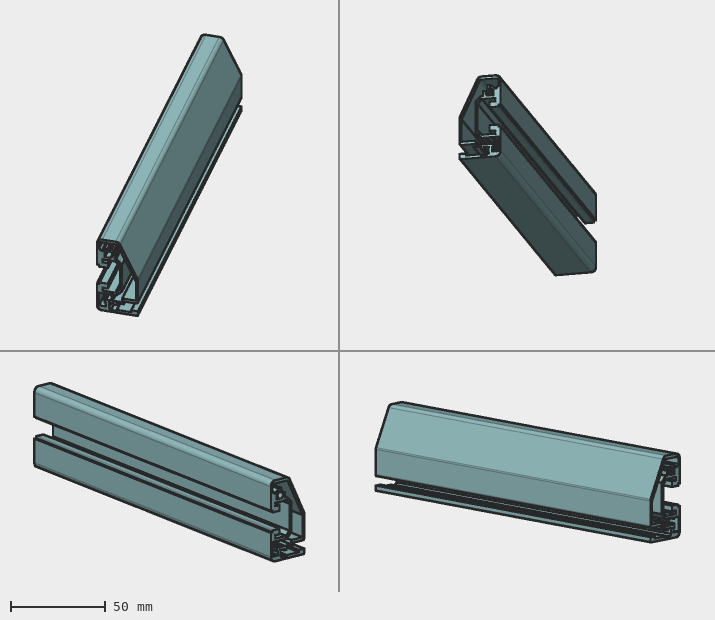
import cadquery as cq
import math


length = 200.0
width = 22.5
height = 45.0
mid_z = height / 2

left_wall = 1.2
right_wall = 1.2
top_wall = 1.8
slant_wall = 1.5
corner_radius = 3.0
slant_corner_radius = 2.7
slant_foot_radius = 2.0
inner_corner_radius = 1.0
slant_top_x = 12.0
slant_bottom_z = 22.9
slant_inner_radius = slant_corner_radius - slant_wall

slot_mouth = 10.0
slot_step = 1.1
slot_step_depth = 1.1
slot_lip_radius = 0.5
jaw_reach = 6.0
undercut_x = 3.0
undercut_height = 1.8
channel_height = 19.8
channel_right_x = 12.6
channel_chamfer = 2.4
channel_wall = 1.2
channel_corner_wall = 1.5
channel_slab = 1.75

root_width = 4.2
root_top_z = 37.7
root_slope_z = 39.2
root_slope_x = 2.7

upper_port_x = 6.4
upper_port_z = 36.1
port_radius = 2.0
hook_radius = 3.5
hook_knob_left_x = 5.9
hook_knob_top_z = 39.8
hook_tip_angle = 75.0
hook_root_angle = 160.0
nub_left_x = 8.3
nub_right_x = 9.7
nub_top_z = 36.8
port_tooth_z = 35.4
port_tooth_height = 0.8
port_tooth_reach = 0.7

lower_port_x = 6.3
ridge_offset = 1.8
ridge_width = 1.1
ridge_height = 0.7

floor_z = 2.9
stem_left_x = 4.8
stem_right_x = 6.6
stem_head_x = 4.2
stem_head_z = 5.2
shelf_low_z = 7.2
shelf_high_z = 9.6
shelf_step_low_x = 13.5
shelf_step_high_x = 13.9
shelf_underside_z = 7.8
shelf_edge_radius = 1.2

bay_right_x = 14.7
bay_low_ceiling_z = 6.0
catch_right_x = 10.7
catch_left_x = 9.0
catch_z = 4.8
stem_ceiling_z = 5.6
foot_groove_z = 1.2
foot_groove_right_x = 10.8
foot_top_z = 1.8
foot_lip_x = 18.8
foot_lip_z = 3.0
foot_edge_radius = 0.8
bay_corner_chamfer = 1.2


def extrude_outline(points):
    """Closed polygon in XZ, extruded over the full length."""
    return cq.Workplane("XZ").polyline(points).close().extrude(length / 2, both=True)


def block(x0, z0, x1, z1):
    return extrude_outline([(x0, z0), (x1, z0), (x1, z1), (x0, z1)])


def round_edge(body, x, z, radius):
    """Fillet the lengthwise edge that passes through (x, z)."""
    return body.edges(cq.selectors.NearestToPointSelector((x, 0, z))).fillet(radius)


def mirror_in_slot(body):
    """Mirror image across the middle plane of the T-slot."""
    return body.mirror("XY", (0, 0, mid_z))


def on_circle(radius, angle):
    """Point on a circle about the upper screw port."""
    a = math.radians(angle)
    return (upper_port_x + radius * math.cos(a), upper_port_z + radius * math.sin(a))


def make_envelope():
    body = extrude_outline([
        (0, 0), (width, 0), (width, slant_bottom_z), (slant_top_x, height), (0, height),
    ])
    for z in (0, height):
        body = round_edge(body, 0, z, corner_radius)
    body = round_edge(body, slant_top_x, height, slant_corner_radius)
    body = round_edge(body, width, slant_bottom_z, slant_foot_radius)
    return round_edge(body, width, 0, foot_edge_radius)


def make_interior():
    """Hollow enclosed by the skin, the floor and the stepped shelf."""
    run = (width - slant_top_x) / (height - slant_bottom_z)
    shift = slant_wall * math.hypot(1, run)
    ceiling_z = height - top_wall
    right_x = width - right_wall
    slant_inner_x = slant_top_x - shift + run * top_wall
    slant_inner_z = slant_bottom_z + (right_wall - shift) / run
    body = extrude_outline([
        (left_wall, floor_z), (stem_left_x, floor_z),
        (stem_left_x, stem_head_z), (stem_head_x, stem_head_z),
        (stem_head_x, shelf_low_z), (shelf_step_low_x, shelf_low_z),
        (shelf_step_high_x, shelf_high_z), (right_x, shelf_high_z),
        (right_x, slant_inner_z), (slant_inner_x, ceiling_z), (left_wall, ceiling_z),
    ])
    body = round_edge(body, left_wall, ceiling_z, inner_corner_radius)
    return round_edge(body, slant_inner_x, ceiling_z, slant_inner_radius)


def make_bay():
    return extrude_outline([
        (stem_right_x, foot_groove_z + bay_corner_chamfer),
        (stem_right_x + bay_corner_chamfer, foot_groove_z),
        (foot_groove_right_x, foot_groove_z), (foot_groove_right_x, foot_top_z),
        (foot_lip_x, foot_top_z), (foot_lip_x, foot_lip_z),
        (width, foot_lip_z), (width, shelf_underside_z),
        (bay_right_x, shelf_underside_z), (bay_right_x, bay_low_ceiling_z),
        (catch_right_x, bay_low_ceiling_z), (catch_right_x, catch_z),
        (catch_left_x, catch_z), (catch_left_x, stem_ceiling_z),
        (stem_right_x, stem_ceiling_z),
    ])


def make_channel_hull():
    """Outside of the T-slot channel, reaching back to the left face."""
    low_z = mid_z - channel_height / 2 - channel_slab
    high_z = mid_z + channel_height / 2 + channel_slab
    right_x = channel_right_x + channel_wall
    slope_x = channel_right_x - channel_chamfer + channel_corner_wall * math.sqrt(2) - channel_slab
    slope_rise = right_x - slope_x
    return extrude_outline([
        (0, low_z), (slope_x, low_z), (right_x, low_z + slope_rise),
        (right_x, high_z - slope_rise), (slope_x, high_z), (0, high_z),
    ])


def make_slot():
    """Empty space of the T-slot: channel, undercuts and stepped mouth."""
    low_z = mid_z - channel_height / 2
    high_z = mid_z + channel_height / 2
    chamfer_x = channel_right_x - channel_chamfer
    body = extrude_outline([
        (jaw_reach, low_z), (chamfer_x, low_z), (channel_right_x, low_z + channel_chamfer),
        (channel_right_x, high_z - channel_chamfer), (chamfer_x, high_z), (jaw_reach, high_z),
    ])
    undercut = block(undercut_x, low_z, jaw_reach, low_z + undercut_height)
    mouth = block(0, mid_z - slot_mouth / 2, jaw_reach, mid_z + slot_mouth / 2)
    entry_half = slot_mouth / 2 + slot_step
    entry = block(0, mid_z - entry_half, slot_step_depth, mid_z + entry_half)
    return body.union(undercut).union(mirror_in_slot(undercut)).union(mouth).union(entry)


def make_upper_root():
    """Solid above the upper jaw, sloping up into the left wall."""
    slab_z = mid_z + channel_height / 2
    return extrude_outline([
        (0, slab_z), (root_width, slab_z), (root_width, root_top_z),
        (root_slope_x, root_top_z), (left_wall, root_slope_z), (0, root_slope_z),
    ])


def make_upper_port():
    """Hooked arm, inner tooth and nub that embrace a self-tapping screw."""
    middle_angle = (hook_tip_angle + hook_root_angle) / 2
    hook = (
        cq.Workplane("XZ")
        .moveTo(*on_circle(hook_radius, hook_root_angle))
        .threePointArc(on_circle(hook_radius, middle_angle), on_circle(hook_radius, hook_tip_angle))
        .lineTo(*on_circle(port_radius, hook_tip_angle))
        .threePointArc(on_circle(port_radius, middle_angle), on_circle(port_radius, hook_root_angle))
        .close()
        .extrude(length / 2, both=True)
    )
    tooth = extrude_outline([
        (root_width, port_tooth_z - port_tooth_height / 2),
        (root_width + port_tooth_reach, port_tooth_z),
        (root_width, port_tooth_z + port_tooth_height / 2),
    ])
    slab_z = mid_z + channel_height / 2
    bore = (
        cq.Workplane("XZ").center(upper_port_x, upper_port_z)
        .circle(port_radius).extrude(length / 2, both=True)
    )
    nub = (
        block(nub_left_x, slab_z, nub_right_x, nub_top_z)
        .union(block(upper_port_x, slab_z, nub_left_x, upper_port_z))
        .cut(bore)
    )
    tip_z = on_circle(port_radius, hook_tip_angle)[1]
    outer_tip_x = on_circle(hook_radius, hook_tip_angle)[0]
    knob = block(hook_knob_left_x, tip_z, outer_tip_x, hook_knob_top_z)
    return hook.union(knob).union(tooth).union(nub)


def make_lower_ridges():
    """Pointed ridges under the channel and on the low shelf."""
    slab_z = mid_z - channel_height / 2 - channel_slab
    low_tip_z = shelf_low_z + ridge_height
    high_tip_z = slab_z - ridge_height
    ridges = []
    for x in (lower_port_x - ridge_offset, lower_port_x + ridge_offset):
        for base_z, tip_z in ((slab_z, high_tip_z), (shelf_low_z, low_tip_z)):
            ridges.append(extrude_outline([
                (x - ridge_width / 2, base_z), (x + ridge_width / 2, base_z), (x, tip_z),
            ]))
    return ridges


body = make_envelope().cut(make_interior()).cut(make_bay())
body = body.union(make_channel_hull()).union(make_upper_root())
body = body.union(make_upper_port())
for ridge in make_lower_ridges():
    body = body.union(ridge)
body = body.cut(make_slot())
for lip_z in (mid_z - slot_mouth / 2, mid_z + slot_mouth / 2):
    body = round_edge(body, slot_step_depth, lip_z, slot_lip_radius)
result = round_edge(body, width, shelf_underside_z, shelf_edge_radius)